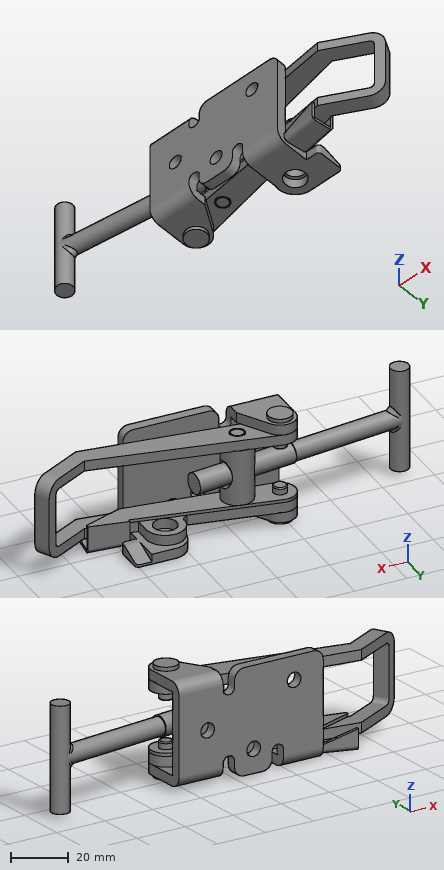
import cadquery as cq
import math


plate_thickness = 4.0
flange_inner_z = 15.5
flange_outer_z = flange_inner_z + plate_thickness
hinge_radius = 6.0
hinge_x = hinge_radius
hinge_y = 17.1
overall_left_x = -48.9
overall_length = 147.3
overall_right_x = overall_left_x + overall_length

base_length = 60.0
hinge_flange_length = 18.4
bend_radius = 4.4
notch_radius = 2.4
notch_center_z = 13.7
tab_height = 20.0
tab_corner_radius = 4.0
lower_tab_length = 15.6
flange_shoulder_y = 8.1
screw_hole_radius = 2.8
screw_hole_spots = [(12.0, 0.0), (31.1, -10.9), (47.9, 11.0)]
upper_tab_start = hinge_flange_length + 2 * notch_radius
lower_tab_end = upper_tab_start + lower_tab_length
ear_start = lower_tab_end + 2 * notch_radius

padlock_x = 51.0
padlock_y = 18.9
padlock_hole_radius = 4.4
base_ear_radius = 7.8
base_ear_outer_z = -20.9
base_ear_inner_z = base_ear_outer_z + plate_thickness
lever_ear_radius = 7.4
ear_root_flare = 2.2
latch_tab_length = 5.9
latch_tab_bottom_y = 14.7
latch_tab_corner_radius = 1.5
ramp_start_y = 17.5
ramp_angle = 18.0

lever_outer_z = flange_inner_z
lever_inner_z = lever_outer_z - plate_thickness
upper_edge_angle = 11.3
lower_edge_angle = 7.3
handle_bend_x = 77.0
handle_angle = 28.0
handle_width = 6.2
handle_inner_radius = 1.9
handle_outer_radius = handle_inner_radius + plate_thickness

clip_thickness = 1.2
clip_inner_z = -lever_inner_z + clip_thickness
clip_lower_start_x = 60.4
clip_upper_start_x = 61.7
clip_lower_end_x = 75.3
clip_upper_end_x = 76.5
clip_floor_start_z = -20.2
clip_floor_end_z = -21.4
clip_fold_radius = 1.8
clip_lip_start_z = -17.1
clip_lip_end_z = -13.1
clip_lip_radius = 0.9

barrel_x = 21.0
barrel_y = 14.3
barrel_radius = 6.0
barrel_mid_z = (lever_inner_z + clip_inner_z) / 2
stud_radius = 2.8
stud_chamfer = 0.5
bore_countersink = 1.5
rod_angle = 7.2
rod_radius = 3.5
thread_radius = 4.0
thread_start = -22.0
thread_end = 17.8
t_bar_length = 40.0
gusset_leg = 1.5

pin_head_radius = 4.5
pin_head_height = 1.5
pin_radius = 2.7
pin_inner_z = 7.7
pin_chamfer = 0.5


def tan_deg(angle):
    return math.tan(math.radians(angle))


def cos_deg(angle):
    return math.cos(math.radians(angle))


def sin_deg(angle):
    return math.sin(math.radians(angle))


def upper_edge_y(x):
    """Height of the straight upper arm edge, tangent to the hinge circle."""
    return hinge_y + hinge_radius / cos_deg(upper_edge_angle) - (x - hinge_x) * tan_deg(upper_edge_angle)


def lower_edge_y(x):
    """Height of the straight lower arm edge, tangent to the hinge circle."""
    return hinge_y - hinge_radius / cos_deg(lower_edge_angle) - (x - hinge_x) * tan_deg(lower_edge_angle)


def hinge_point(angle):
    """Point on the hinge circle at an angle counted from +X."""
    return (hinge_x + hinge_radius * cos_deg(angle), hinge_y + hinge_radius * sin_deg(angle))


def z_cylinder(x, y, radius, bottom_z, top_z):
    return cq.Workplane("XY", origin=(x, y, bottom_z)).circle(radius).extrude(top_z - bottom_z)


def z_prism(points, bottom_z, top_z):
    return cq.Workplane("XY", origin=(0, 0, bottom_z)).polyline(points).close().extrude(top_z - bottom_z)


def y_prism(points, start_y, end_y):
    """Extrude an outline of (x, z) points along Y."""
    plane = cq.Plane(origin=(0, end_y, 0), xDir=(1, 0, 0), normal=(0, -1, 0))
    return cq.Workplane(plane).polyline(points).close().extrude(end_y - start_y)


def block(x0, x1, y0, y1, z0, z1):
    return cq.Workplane("XY").box(x1 - x0, y1 - y0, z1 - z0, centered=False).translate((x0, y0, z0))


def padlock_hole():
    return z_cylinder(padlock_x, padlock_y, padlock_hole_radius, base_ear_outer_z, 0)


def base_plate():
    t = plate_thickness
    core = block(0, base_length, 0, t, -notch_center_z, notch_center_z)
    hinge_root = block(0, hinge_flange_length, 0, t, -flange_outer_z, flange_outer_z)
    upper_tab = block(upper_tab_start, base_length, 0, t, 0, tab_height)
    upper_tab = upper_tab.edges("|Y and >Z").fillet(tab_corner_radius)
    lower_tab = block(upper_tab_start, lower_tab_end, 0, t, -tab_height, 0)
    lower_tab = lower_tab.edges("|Y and <Z").fillet(tab_corner_radius)
    ear_root = block(ear_start, base_length, 0, t, base_ear_outer_z, 0)
    plate = core.union(hinge_root).union(upper_tab).union(lower_tab).union(ear_root)

    first_notch_x = hinge_flange_length + notch_radius
    second_notch_x = lower_tab_end + notch_radius
    notch_spots = [
        (first_notch_x, notch_center_z),
        (first_notch_x, -notch_center_z),
        (second_notch_x, -notch_center_z),
    ]
    y_plane = cq.Plane(origin=(0, t, 0), xDir=(1, 0, 0), normal=(0, -1, 0))
    notches = cq.Workplane(y_plane).pushPoints(notch_spots).circle(notch_radius).extrude(t)
    screw_holes = cq.Workplane(y_plane).pushPoints(screw_hole_spots).circle(screw_hole_radius).extrude(t)
    return plate.cut(notches).cut(screw_holes)


def hinge_flange(bottom_z):
    """Upright cheek whose slanted side is tangent to its rounded top."""
    shoulder_dx = hinge_flange_length - hinge_x
    shoulder_dy = flange_shoulder_y - hinge_y
    to_shoulder = math.degrees(math.atan2(shoulder_dy, shoulder_dx))
    distance = math.hypot(shoulder_dx, shoulder_dy)
    tangent_angle = to_shoulder + math.degrees(math.acos(hinge_radius / distance))
    cheek = (
        cq.Workplane("XY", origin=(0, 0, bottom_z))
        .moveTo(0, 0)
        .lineTo(hinge_flange_length, 0)
        .lineTo(hinge_flange_length, flange_shoulder_y)
        .lineTo(*hinge_point(tangent_angle))
        .threePointArc(hinge_point(90), hinge_point(180))
        .close()
        .extrude(plate_thickness)
    )
    return cheek.cut(z_cylinder(hinge_x, hinge_y, pin_radius, bottom_z, bottom_z + plate_thickness))


def base_ear():
    """Padlock ear with a side tab whose inner face ramps down towards the ear top."""
    top_y = padlock_y + base_ear_radius
    tab_end = base_length + latch_tab_length
    ear = z_cylinder(padlock_x, padlock_y, base_ear_radius, base_ear_outer_z, base_ear_inner_z)
    ear = ear.union(block(ear_start, base_length, 0, padlock_y, base_ear_outer_z, base_ear_inner_z))
    tab = block(padlock_x, tab_end, latch_tab_bottom_y, top_y, base_ear_outer_z, base_ear_inner_z)
    tab = tab.edges("|Z and >X").fillet(latch_tab_corner_radius)
    ramp_drop = (top_y - ramp_start_y) * tan_deg(ramp_angle)
    ramp = (
        cq.Workplane("YZ", origin=(base_length, 0, 0))
        .moveTo(ramp_start_y, base_ear_inner_z)
        .lineTo(top_y, base_ear_inner_z)
        .lineTo(top_y, base_ear_inner_z - ramp_drop)
        .close()
        .extrude(latch_tab_length)
    )
    return ear.union(tab.cut(ramp)).cut(padlock_hole())


def make_base():
    base = base_plate().union(base_ear())
    for bottom_z in (flange_inner_z, -flange_outer_z):
        base = base.union(hinge_flange(bottom_z))
    bends = [
        (hinge_flange_length / 2, flange_outer_z),
        (hinge_flange_length / 2, -flange_outer_z),
        ((ear_start + base_length) / 2, base_ear_outer_z),
    ]
    for x, z in bends:
        base = base.edges(cq.NearestToPointSelector((x, 0, z))).fillet(bend_radius)
    return base


def arm_outline(workplane):
    """Start an outline at the upper tangent point, around the hinge end, to the lower tangent point."""
    return (
        workplane.moveTo(*hinge_point(90 - upper_edge_angle))
        .threePointArc(hinge_point(180), hinge_point(270 - lower_edge_angle))
    )


def handle_corner(across):
    """Corner of the handle end, a distance across the handle from its lower edge."""
    along = (overall_right_x - handle_bend_x) / cos_deg(handle_angle)
    x = handle_bend_x + along * cos_deg(handle_angle) - across * sin_deg(handle_angle)
    y = lower_edge_y(handle_bend_x) + along * sin_deg(handle_angle) + across * cos_deg(handle_angle)
    return (x, y)


def lever_side():
    """Solid with the side outline of the lever, as wide as the lever, its far corners rounded."""
    lower_tip = handle_corner(0)
    upper_tip = handle_corner(handle_width)
    slope = tan_deg(handle_angle)
    upper_bend_x = (upper_edge_y(0) - upper_tip[1] + upper_tip[0] * slope) / (slope + tan_deg(upper_edge_angle))
    side = (
        arm_outline(cq.Workplane("XY", origin=(0, 0, -lever_outer_z)))
        .lineTo(handle_bend_x, lower_edge_y(handle_bend_x))
        .lineTo(*lower_tip)
        .lineTo(*upper_tip)
        .lineTo(upper_bend_x, upper_edge_y(upper_bend_x))
        .close()
        .extrude(2 * lever_outer_z)
    )
    for z in (-lever_outer_z, lever_outer_z):
        middle = ((lower_tip[0] + upper_tip[0]) / 2, (lower_tip[1] + upper_tip[1]) / 2, z)
        side = side.edges(cq.NearestToPointSelector(middle)).fillet(handle_outer_radius)
    return side


def lever_opening():
    """Space between the two arms, with rounded corners next to the end bar."""
    reach = overall_length
    x, y = handle_corner(0)
    opening = (
        cq.Workplane("XY")
        .box(reach, reach, 2 * lever_inner_z)
        .edges("|Y and >X")
        .fillet(handle_inner_radius)
        .translate((-reach / 2 - plate_thickness, 0, 0))
    )
    return opening.rotate((0, 0, 0), (0, 0, 1), handle_angle).translate((x, y, 0))


def lever_ear():
    """Padlock ear standing on the lower arm."""
    left = padlock_x - lever_ear_radius
    right = padlock_x + lever_ear_radius
    root_y = upper_edge_y(left)
    ear = z_cylinder(padlock_x, padlock_y, lever_ear_radius, -lever_outer_z, -lever_inner_z)
    neck = z_prism(
        [
            (left - ear_root_flare, upper_edge_y(left - ear_root_flare)),
            (left, root_y - ear_root_flare),
            (right, upper_edge_y(right) - ear_root_flare),
            (right, padlock_y),
            (left, padlock_y),
            (left, root_y + ear_root_flare),
        ],
        -lever_outer_z,
        -lever_inner_z,
    )
    return ear.union(neck)


def make_lever():
    lever = lever_side().cut(lever_opening()).union(lever_ear()).cut(padlock_hole())
    lever = lever.cut(z_cylinder(hinge_x, hinge_y, pin_radius, -lever_outer_z, lever_outer_z))
    return lever.cut(z_cylinder(barrel_x, barrel_y, stud_radius, -lever_outer_z, lever_outer_z))


def clip_plate():
    """Flat strip along the inside of the lower arm, with a slanted nose."""
    strip = (
        arm_outline(cq.Workplane("XY", origin=(0, 0, -lever_inner_z)))
        .lineTo(clip_upper_start_x, lower_edge_y(clip_upper_start_x))
        .lineTo(clip_upper_end_x, upper_edge_y(clip_upper_end_x))
        .close()
        .extrude(clip_thickness)
    )
    strip = strip.cut(z_cylinder(hinge_x, hinge_y, pin_radius, -lever_inner_z, clip_inner_z))
    return strip.cut(z_cylinder(barrel_x, barrel_y, stud_radius, -lever_inner_z, clip_inner_z))


def clip_floor_z(x):
    """Height of the outer face of the slanted clip floor."""
    slope = (clip_floor_end_z - clip_floor_start_z) / (clip_upper_end_x - clip_lower_start_x)
    return clip_floor_start_z + (x - clip_lower_start_x) * slope


def clip_block(wall, floor_lift, overrun):
    """Block around the arm, grown by the wall, its floor lifted and its two ends extended by the overrun."""
    lower_start = clip_lower_start_x - overrun
    lower_end = clip_lower_end_x + overrun
    upper_start = clip_upper_start_x - overrun
    upper_end = clip_upper_end_x + overrun
    outline = [
        (lower_start, lower_edge_y(lower_start) - wall),
        (lower_end, lower_edge_y(lower_end) - wall),
        (upper_end, upper_edge_y(upper_end) + wall),
        (upper_start, upper_edge_y(upper_start) + wall),
    ]
    above_floor = [
        (lower_start, clip_floor_z(lower_start) + floor_lift),
        (upper_end, clip_floor_z(upper_end) + floor_lift),
        (upper_end, clip_inner_z),
        (lower_start, clip_inner_z),
    ]
    column = z_prism(outline, clip_floor_z(upper_end), clip_inner_z)
    return column.intersect(y_prism(above_floor, 0, padlock_y))


def clip_channel():
    """Floor, full upper wall and tapering lower lip that wrap around the outside of the arm."""
    folds = cq.selectors.BoxSelector(
        (clip_lower_start_x, 0, clip_floor_end_z - clip_thickness),
        (clip_upper_end_x, padlock_y, clip_floor_start_z + clip_thickness),
    )
    outer = clip_block(clip_thickness, 0, 0)
    outer = outer.edges(folds).edges("(not <X) and (not >X)").fillet(clip_fold_radius)
    channel = outer.cut(clip_block(0, clip_thickness, clip_thickness))
    above_lip = [
        (clip_lower_start_x, clip_lip_start_z),
        (clip_lower_end_x, clip_lip_end_z),
        (clip_upper_end_x, clip_lip_end_z),
        (clip_upper_end_x, 0),
        (clip_lower_start_x, 0),
    ]
    channel = channel.cut(y_prism(above_lip, 0, lower_edge_y(clip_lower_start_x)))
    lip_tip = (clip_lower_end_x, lower_edge_y(clip_lower_end_x) - clip_thickness / 2, clip_lip_end_z)
    return channel.edges(cq.NearestToPointSelector(lip_tip)).fillet(clip_lip_radius)


def make_clip():
    return clip_plate().union(clip_channel())


rod_direction = cq.Vector(cos_deg(rod_angle), sin_deg(rod_angle), 0)
rod_center = cq.Vector(barrel_x, barrel_y, barrel_mid_z)
t_bar_radius = rod_radius
t_bar_offset = (barrel_x - overall_left_x - t_bar_radius) / cos_deg(rod_angle)


def along_rod(profile):
    """Revolve an outline of (distance along the rod, radius) points about the rod axis."""
    plane = cq.Plane(origin=rod_center.toTuple(), xDir=rod_direction.toTuple(), normal=(0, 0, 1))
    return cq.Workplane(plane).polyline(profile).close().revolve(360, (0, 0), (1, 0))


def bore_tool():
    """Bore of the barrel, countersunk at both mouths."""
    mouth = thread_radius + bore_countersink
    end = barrel_radius
    step = barrel_radius - bore_countersink
    return along_rod(
        [(-end, 0), (-end, mouth), (-step, thread_radius), (step, thread_radius), (end, mouth), (end, 0)]
    )


def make_barrel():
    body = z_cylinder(barrel_x, barrel_y, barrel_radius, clip_inner_z, lever_inner_z)
    studs = z_cylinder(barrel_x, barrel_y, stud_radius, -lever_outer_z, lever_outer_z)
    studs = studs.faces("<Z or >Z").chamfer(stud_chamfer)
    return body.union(studs).cut(bore_tool())


def rod_gussets():
    """Tapering chamfers that fill the corners between the rod and the T-bar."""
    reach = t_bar_radius + rod_radius + gusset_leg
    near = rod_radius
    far = rod_radius + gusset_leg
    wedge = (
        cq.Workplane("XZ")
        .polyline([(0, 0), (2 * near, 2 * far), (2 * far, 2 * near)])
        .close()
        .extrude(2 * rod_radius, both=True)
    )
    diagonal = cq.Plane(origin=(0, 0, 0), xDir=(1, 0, 1), normal=(1, 0, -1))
    rounding = cq.Workplane(diagonal).ellipse(reach / math.sqrt(2), rod_radius).extrude(reach, both=True)
    upper = wedge.intersect(rounding)
    gussets = upper.union(upper.mirror("XY"))
    return gussets.rotate((0, 0, 0), (0, 0, 1), rod_angle)


def make_rod():
    shank = along_rod(
        [
            (-t_bar_offset, 0),
            (-t_bar_offset, rod_radius),
            (thread_start, rod_radius),
            (thread_start, thread_radius),
            (thread_end, thread_radius),
            (thread_end, 0),
        ]
    )
    center = rod_center - rod_direction * t_bar_offset
    bottom_z = center.z - t_bar_length / 2
    t_bar = z_cylinder(center.x, center.y, t_bar_radius, bottom_z, bottom_z + t_bar_length)
    return shank.union(t_bar).union(rod_gussets().translate(center))


def make_pin(side):
    """Headed pin through one cheek and one arm; side is +1 for the upper pin and -1 for the lower one."""
    head_top = flange_outer_z + pin_head_height
    shank = z_cylinder(hinge_x, hinge_y, pin_radius, pin_inner_z, head_top)
    shank = shank.faces("<Z").chamfer(pin_chamfer)
    pin = shank.union(z_cylinder(hinge_x, hinge_y, pin_head_radius, flange_outer_z, head_top))
    return pin if side > 0 else pin.mirror("XY")


base = make_base()
lever = make_lever()
clip = make_clip()
barrel = make_barrel()
rod = make_rod()
pins = [make_pin(side) for side in (1, -1)]

result = cq.Compound.makeCompound(
    [base.val(), lever.val(), clip.val(), barrel.val(), rod.val(), *[pin.val() for pin in pins]]
)